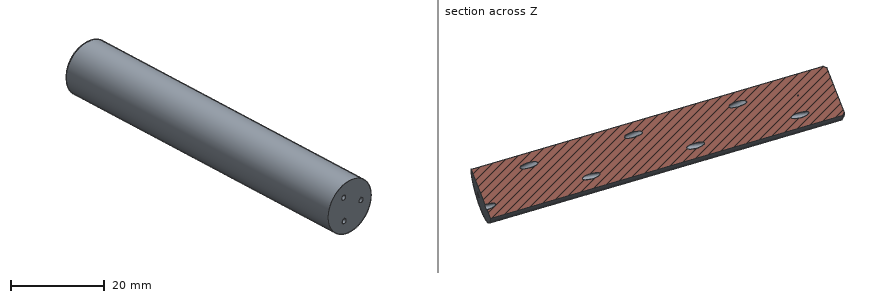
import cadquery as cq
import math

rod_length = 80.0
rod_diameter = 13.0
chamfer_size = 0.6

channel_count = 3
channel_diameter = 1.2
channel_circle_radius = 3.4
first_channel_angle = 73.0
channel_spacing = 360.0 / channel_count

helix_angle = 30.0
helix_pitch = math.pi * rod_diameter / math.tan(math.radians(helix_angle))
channel_twist = 360.0 * rod_length / helix_pitch

chamfered_end = cq.Workplane("YZ")


def make_rod():
    rod = chamfered_end.circle(rod_diameter / 2).extrude(rod_length)
    return rod.faces("<X").chamfer(chamfer_size)


def make_channel(index):
    angle = math.radians(first_channel_angle + index * channel_spacing)
    y = channel_circle_radius * math.cos(angle)
    z = channel_circle_radius * math.sin(angle)
    profile = chamfered_end.moveTo(y, z).circle(channel_diameter / 2)
    return profile.twistExtrude(rod_length, channel_twist)


result = make_rod()
for channel_index in range(channel_count):
    result = result.cut(make_channel(channel_index))